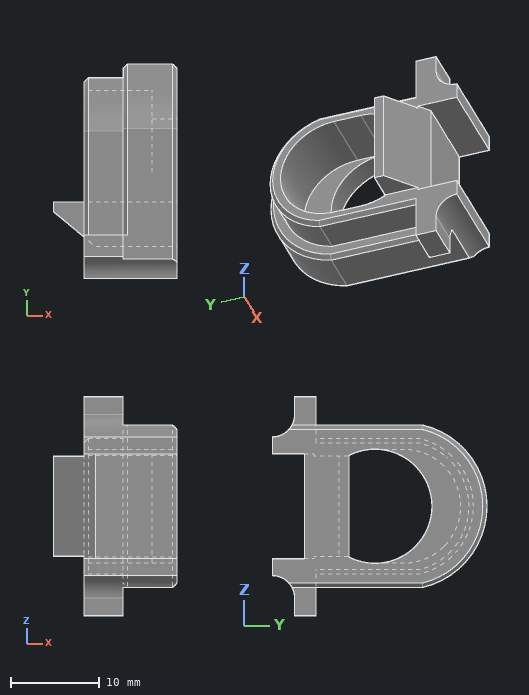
import cadquery as cq
import math

BODY_FRONT = 3.45
STEP_X = 7.92
BODY_REAR = 14.05
BODY_LENGTH = BODY_REAR - BODY_FRONT

LENGTH_Y = 24.4
NARROW_RADIUS = 7.92
WIDE_RADIUS = 9.48
ROUND_CENTER_Y = LENGTH_Y - WIDE_RADIUS
NARROW_HALF_HEIGHT = 7.7
WIDE_HALF_HEIGHT = 9.23
CHAMFER = 0.5

BORE_RADIUS = 6.47
HOLE_CENTER_Y = 11.65
POCKET_DEPTH = 7.72

BAR_FRONT_Y = 3.63
BAR_BACK_Y = 8.7
HOOK_TIP_Y = 7.6
HOOK_SLOPE_END_X = 4.78
HOOK_HALF_WIDTH = 5.7

FLANGE_HALF_HEIGHT = 12.45
FLANGE_FRONT_Y = 2.51
FLANGE_BACK_Y = 4.98
CHANNEL_HALF_HEIGHT = 5.95
LIP_HALF_HEIGHT = 7.9


def box(x0, x1, y0, y1, half_height):
    """Block centred on Z = 0."""
    return cq.Workplane("XY").box(
        x1 - x0, y1 - y0, 2 * half_height, centered=(False, False, True)
    ).translate((x0, y0, 0))


def housing_outline(x, inset, radius, half_height):
    """Wire at the given X: flat sides and one end closed by an arc, moved in by the inset."""
    arc_radius = radius - inset
    side_z = half_height - inset
    arc_end_y = ROUND_CENTER_Y + math.sqrt(arc_radius**2 - side_z**2)
    return (
        cq.Workplane("YZ", origin=(x, 0, 0))
        .moveTo(0, -side_z)
        .lineTo(arc_end_y, -side_z)
        .threePointArc((ROUND_CENTER_Y + arc_radius, 0), (arc_end_y, side_z))
        .lineTo(0, side_z)
        .close()
    )


def housing(x0, x1, radius, half_height):
    """Straight housing section between two X positions."""
    return housing_outline(x0, 0, radius, half_height).extrude(x1 - x0)


def chamfer_band(x_face, x_full, radius, half_height):
    """Bevelled end of a housing section, widening from the end face to the full outline."""
    small = housing_outline(x_face, CHAMFER, radius, half_height).val()
    full = housing_outline(x_full, 0, radius, half_height).val()
    return cq.Workplane(cq.Solid.makeLoft([small, full], True))


def bore_cylinder(center_y, depth):
    return cq.Workplane("YZ", origin=(BODY_FRONT, center_y, 0)).circle(BORE_RADIUS).extrude(depth)


def bore():
    pocket = bore_cylinder(ROUND_CENTER_Y, POCKET_DEPTH).union(
        box(BODY_FRONT, BODY_FRONT + POCKET_DEPTH, HOLE_CENTER_Y, ROUND_CENTER_Y, BORE_RADIUS)
    )
    hole = bore_cylinder(HOLE_CENTER_Y, BODY_LENGTH)
    bar = box(BODY_FRONT, BODY_REAR, 0, BAR_BACK_Y, BORE_RADIUS)
    return pocket.union(hole).cut(bar)


def hook():
    """Wedge-shaped catch whose sloping face runs back into the bar."""
    return (
        cq.Workplane("XY", origin=(0, 0, -HOOK_HALF_WIDTH))
        .polyline([
            (0, BAR_BACK_Y),
            (0, HOOK_TIP_Y),
            (HOOK_SLOPE_END_X, BAR_FRONT_Y),
            (HOOK_SLOPE_END_X, BAR_BACK_Y),
        ])
        .close()
        .extrude(2 * HOOK_HALF_WIDTH)
    )


def channel():
    """Space between the lips, bounded by the bar and the hook slope."""
    slope = (HOOK_TIP_Y - BAR_FRONT_Y) / HOOK_SLOPE_END_X
    slope_y = HOOK_TIP_Y - slope * BODY_FRONT
    return (
        cq.Workplane("XY", origin=(0, 0, -CHANNEL_HALF_HEIGHT))
        .polyline([
            (BODY_FRONT, 0),
            (BODY_FRONT, slope_y),
            (HOOK_SLOPE_END_X, BAR_FRONT_Y),
            (BODY_REAR, BAR_FRONT_Y),
            (BODY_REAR, 0),
        ])
        .close()
        .extrude(2 * CHANNEL_HALF_HEIGHT)
    )


def flange_relief():
    """Concave cut in front of the upper flange, along the full body."""
    radius = FLANGE_FRONT_Y
    arc_top = LIP_HALF_HEIGHT + radius
    return (
        cq.Workplane("YZ", origin=(BODY_FRONT, 0, 0))
        .moveTo(0, LIP_HALF_HEIGHT)
        .radiusArc((radius, arc_top), -radius)
        .lineTo(radius, FLANGE_HALF_HEIGHT)
        .lineTo(0, FLANGE_HALF_HEIGHT)
        .close()
        .extrude(BODY_LENGTH)
    )


narrow_start = BODY_FRONT + CHAMFER
wide_start = STEP_X + CHAMFER
wide_end = BODY_REAR - CHAMFER
narrow = housing(narrow_start, STEP_X, NARROW_RADIUS, NARROW_HALF_HEIGHT).union(
    chamfer_band(BODY_FRONT, narrow_start, NARROW_RADIUS, NARROW_HALF_HEIGHT)
)
wide = (
    housing(wide_start, wide_end, WIDE_RADIUS, WIDE_HALF_HEIGHT)
    .union(chamfer_band(STEP_X, wide_start, WIDE_RADIUS, WIDE_HALF_HEIGHT))
    .union(chamfer_band(BODY_REAR, wide_end, WIDE_RADIUS, WIDE_HALF_HEIGHT))
)

flanges = box(BODY_FRONT, STEP_X, 0, FLANGE_BACK_Y, FLANGE_HALF_HEIGHT)
flange_root = box(STEP_X, wide_start, 0, FLANGE_BACK_Y, WIDE_HALF_HEIGHT)

result = narrow.union(wide).union(flanges).union(flange_root)
result = result.cut(bore()).cut(channel())
upper_relief = flange_relief()
result = result.cut(upper_relief).cut(upper_relief.mirror("XY"))
result = result.union(hook())